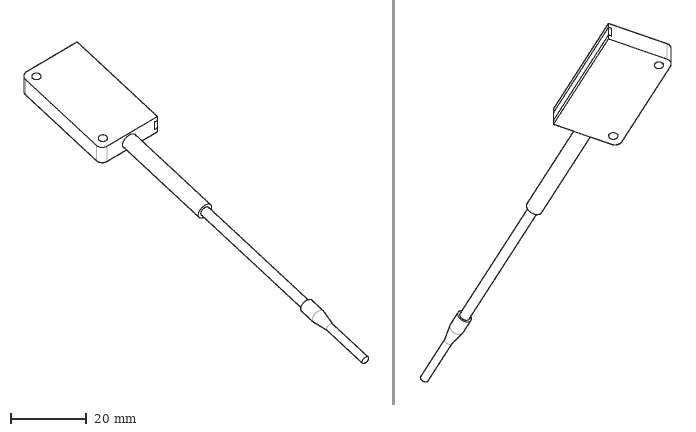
import cadquery as cq

total_length = 134.0
housing_length = 34.0
housing_depth = 19.0
housing_height = 6.0
corner_radius = 2.0
hole_diameter = 2.4
hole_inset = 3.0

strip_depth = 1.0
strip_height = 3.0

sheath_length = 32.0
sheath_diameter = 4.5
cord_diameter = 2.8
collar_start = 109.1
collar_length = 5.0
collar_diameter = 4.0
taper_length = 5.0
tip_diameter = 2.3

back_y = housing_depth / 2
front_y = -housing_depth / 2
sheath_end = housing_length + sheath_length
collar_end = collar_start + collar_length
taper_end = collar_end + taper_length


def make_strip():
    """Rectangular bar whose outer face lies flush with the back of the housing."""
    return cq.Workplane("XY").box(
        housing_length, strip_depth, strip_height, centered=(False, True, True)
    ).translate((0, back_y - strip_depth / 2, 0))


def make_block():
    """Block with the two front corners rounded and a through hole beside each."""
    block = cq.Workplane("XY").box(
        housing_length, housing_depth, housing_height, centered=(False, True, True)
    )
    block = block.edges("|Z and <Y").fillet(corner_radius)
    hole_y = front_y + hole_inset
    hole_places = [(hole_inset, hole_y), (housing_length - hole_inset, hole_y)]
    holes = (
        cq.Workplane("XY")
        .pushPoints(hole_places)
        .circle(hole_diameter / 2)
        .extrude(housing_height, both=True)
    )
    return block.cut(holes)


def make_cable():
    """Sheath, cord, collar, taper and tip turned about the X axis."""
    return (
        cq.Workplane("XY")
        .moveTo(housing_length, 0)
        .lineTo(housing_length, -sheath_diameter / 2)
        .lineTo(sheath_end, -sheath_diameter / 2)
        .lineTo(sheath_end, -cord_diameter / 2)
        .lineTo(collar_start, -cord_diameter / 2)
        .lineTo(collar_start, -collar_diameter / 2)
        .lineTo(collar_end, -collar_diameter / 2)
        .lineTo(taper_end, -tip_diameter / 2)
        .lineTo(total_length, -tip_diameter / 2)
        .lineTo(total_length, 0)
        .close()
        .revolve(360, (0, 0, 0), (1, 0, 0))
    )


strip = make_strip()

housing = make_block().union(make_cable()).cut(strip)

result = cq.Compound.makeCompound([housing.solids().val(), strip.val()])